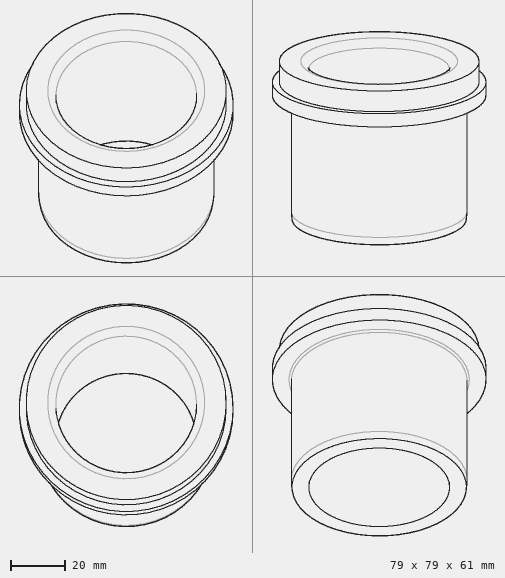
import cadquery as cq

total_height = 61.0
flange_diameter = 79.0
flange_height = 5.1
head_diameter = 73.85
head_height = 8.0
body_diameter = 65.0
bore_diameter = 52.0
bore_mouth_radius = 3.0

lead_diameter = 64.45
lead_height = 3.0

root_radius = 0.8

flange_top = total_height - head_height
flange_bottom = flange_top - flange_height
body_radius = body_diameter / 2


def revolved_body():
    """Solid outer shape, revolved from its half section."""
    return (
        cq.Workplane("XZ")
        .lineTo(lead_diameter / 2, 0)
        .lineTo(body_radius, lead_height)
        .lineTo(body_radius, flange_bottom - root_radius)
        .radiusArc((body_radius + root_radius, flange_bottom), root_radius)
        .lineTo(flange_diameter / 2, flange_bottom)
        .lineTo(flange_diameter / 2, flange_top)
        .lineTo(head_diameter / 2, flange_top)
        .lineTo(head_diameter / 2, total_height)
        .lineTo(0, total_height)
        .close()
        .revolve(360, (0, 0, 0), (0, 1, 0))
    )


def bore():
    """Through bore."""
    return cq.Workplane("XY").circle(bore_diameter / 2).extrude(total_height)


bushing = revolved_body().cut(bore())

bore_mouth = cq.selectors.RadiusNthSelector(0)
result = bushing.faces(">Z").edges(bore_mouth).fillet(bore_mouth_radius)